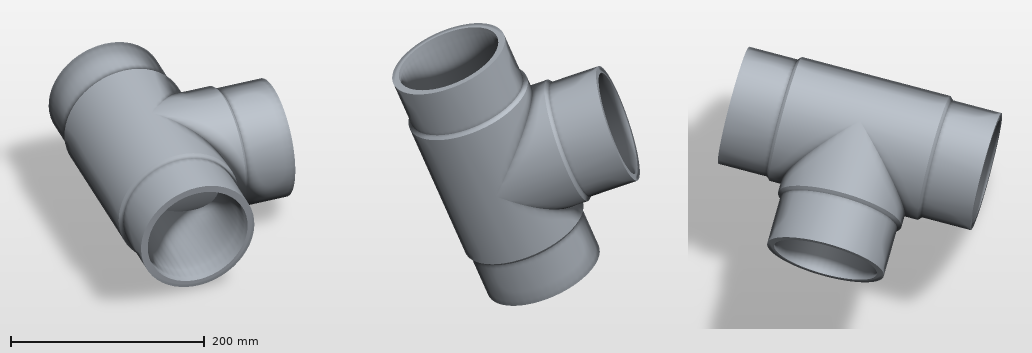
import cadquery as cq

run_length = 270.0
pipe_diameter = 125.0
bore_diameter = 110.2
body_diameter = 132.3
body_length = 165.8

arm_length = run_length / 2
body_reach = body_length / 2
bevel = (body_diameter - pipe_diameter) / 2


def arm_outside(direction):
    """Solid arm from the tee centre: thick bevelled body, then the plain pipe end."""
    base = cq.Plane(origin=(0, 0, 0), xDir=(0, 0, 1), normal=direction)
    body = cq.Workplane(base).circle(body_diameter / 2).extrude(body_reach)
    body = body.faces(cq.selectors.DirectionMinMaxSelector(cq.Vector(*direction))).chamfer(bevel)
    pipe = cq.Workplane(base).circle(pipe_diameter / 2).extrude(arm_length)
    return body.union(pipe)


def arm_bore(direction):
    """Cylinder that hollows one arm from the tee centre to its open end."""
    base = cq.Plane(origin=(0, 0, 0), xDir=(0, 0, 1), normal=direction)
    return cq.Workplane(base).circle(bore_diameter / 2).extrude(arm_length)


left = (-1, 0, 0)
right = (1, 0, 0)
branch = (0, 1, 0)

result = arm_outside(left).union(arm_outside(right)).union(arm_outside(branch))
for direction in (left, right, branch):
    result = result.cut(arm_bore(direction))
result = result.clean()